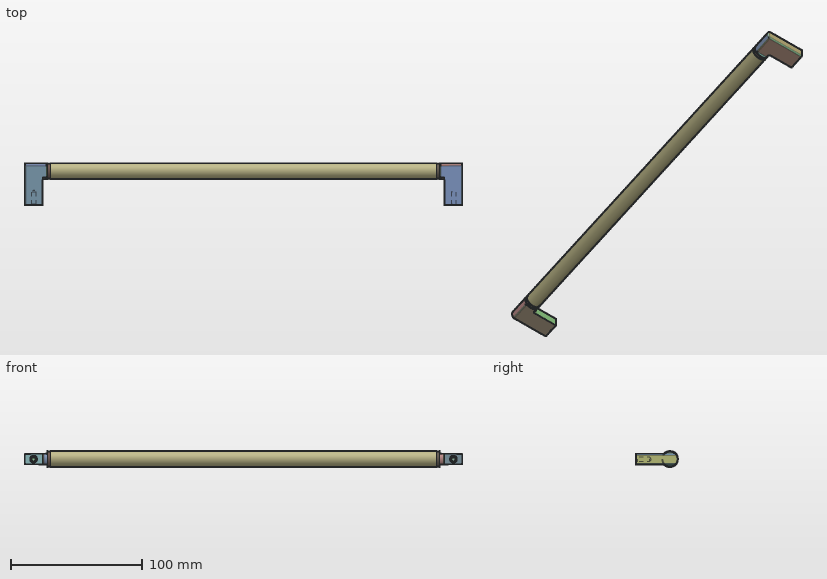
import cadquery as cq
length = 334.0
depth = 32.0
tube_diameter = 12.5

post_width = 13.7
outer_thickness = 8.0
inner_thickness = 8.5
edge_rounding = 1.0
corner_fillet = 1.0

shoulder_position = 17.5
shoulder_fillet = 1.0
arm_end = 17.7
tube_start = 19.7
neck_diameter = 11.5

hole_diameter = 3.5
countersink_diameter = 5.5
hole_depth = 10.0

tube_radius = tube_diameter / 2
half_length = length / 2
post_front = tube_radius - depth
flat_end = shoulder_position - shoulder_fillet
flat_slope = (inner_thickness - outer_thickness) / 2 / post_width


def make_round_bar(start, end):
    """Round bar along X, of the tube's diameter, between distances from the left end."""
    return (
        cq.Workplane("YZ", origin=(start - half_length, 0, 0))
        .circle(tube_radius)
        .extrude(end - start)
    )


def make_tube():
    """Round handle bar between the two posts."""
    return make_round_bar(tube_start, length - tube_start)


def cut_flats(body):
    """Cut the upper and lower flats, which spread gently inwards to a filleted shoulder."""
    end_height = outer_thickness / 2 + flat_slope * flat_end
    cutter = (
        cq.Workplane("XZ", origin=(-half_length, tube_radius, 0))
        .moveTo(0, outer_thickness / 2)
        .lineTo(flat_end, end_height)
        .radiusArc((shoulder_position, end_height + shoulder_fillet), -shoulder_fillet)
        .lineTo(shoulder_position, depth)
        .lineTo(0, depth)
        .close()
        .extrude(depth)
    )
    return body.cut(cutter).cut(cutter.mirror("XY"))


def make_leg():
    """L-shaped leg: a flattened bar along X, with a square leg reaching forwards from it."""
    square_leg = cq.Workplane("XY", origin=(-half_length, post_front, 0)).box(
        post_width, -post_front, tube_diameter, centered=(False, False, True)
    )
    leg = cut_flats(make_round_bar(0, flat_end).union(square_leg))

    corner_margin = 0.5
    inner_corner = cq.selectors.BoxSelector(
        (post_width - half_length - corner_margin, -tube_radius, -corner_margin),
        (post_width - half_length + corner_margin, -tube_radius / 2, corner_margin),
    )
    leg = leg.edges(inner_corner).fillet(corner_fillet)

    back_edges = cq.selectors.BoxSelector(
        (edge_rounding - half_length, tube_radius / 2, -tube_radius),
        (flat_end - edge_rounding - half_length, tube_radius, tube_radius),
    )
    outer_rim = leg.faces("<X").edges("not <Y")
    return outer_rim.add(leg.edges(back_edges)).fillet(edge_rounding)


def make_collar():
    """Shoulder where the flats run out to the full round of the bar."""
    return cut_flats(make_round_bar(flat_end, arm_end))


def make_neck():
    """Short neck between the arm and the end of the tube."""
    return (
        cq.Workplane("YZ", origin=(arm_end - half_length, 0, 0))
        .circle(neck_diameter / 2)
        .extrude(tube_start - arm_end)
    )


def make_screw_hole():
    """Blind countersunk hole in the front face of the leg."""
    countersink_depth = (countersink_diameter - hole_diameter) / 2
    return (
        cq.Workplane("XY", origin=(post_width / 2 - half_length, post_front, 0))
        .polyline([
            (0, 0),
            (countersink_diameter / 2, 0),
            (hole_diameter / 2, countersink_depth),
            (hole_diameter / 2, hole_depth),
            (0, hole_depth + hole_diameter / 2),
        ])
        .close()
        .revolve(360, (0, 0, 0), (0, 1, 0))
    )


def make_post():
    """Left post: leg, collar, neck and screw hole in one solid."""
    return make_leg().union(make_collar()).union(make_neck()).cut(make_screw_hole())


tube = make_tube()
left_post = make_post()
right_post = left_post.mirror("YZ")
result = cq.Compound.makeCompound([tube.val(), left_post.val(), right_post.val()])